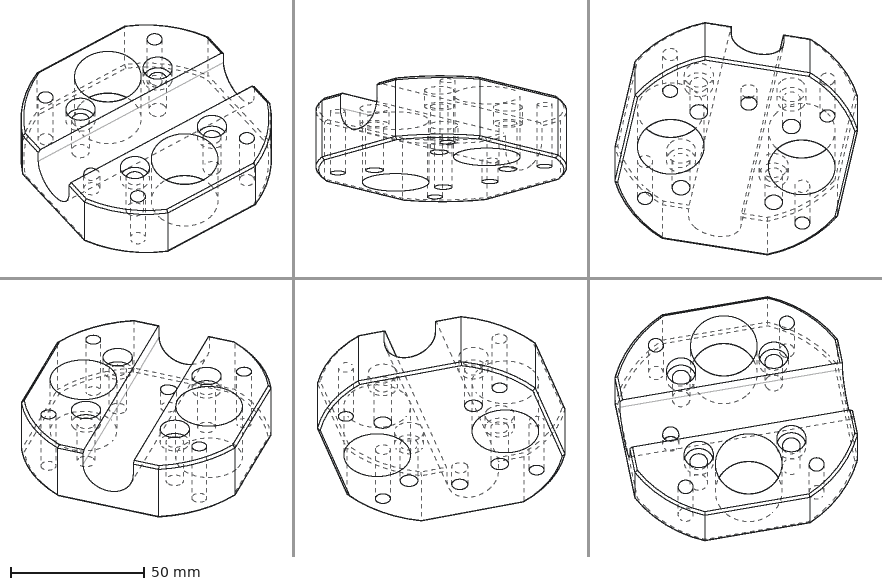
import cadquery as cq

side = 85.0
height = 24.0
disc_diameter = 94.0
edge_chamfer = 1.0

channel_width = 20.0
channel_depth = 16.0

bore_diameter = 25.0
bore_offset = 25.0
corner_hole_diameter = 5.6
corner_hole_x = 30.0
corner_hole_y = 25.0
screw_offset = 17.7
screw_diameter = 6.6
counterbore_diameter = 11.0
counterbore_depth = 6.2
channel_hole_diameter = 6.0
channel_hole_y = -25.0


def four_points(x, y):
    """Points mirrored about both the X and Y axes."""
    return [(sx * x, sy * y) for sx in (-1, 1) for sy in (-1, 1)]


def make_block():
    disc = cq.Workplane("XY").circle(disc_diameter / 2).extrude(height)
    square = cq.Workplane("XY").rect(side, side).extrude(height)
    block = disc.intersect(square)
    return block.faces("<Z or >Z").edges().chamfer(edge_chamfer)


def make_channel():
    radius = channel_width / 2
    axis_z = height - channel_depth + radius
    round_bottom = (
        cq.Workplane("XZ", origin=(0, side / 2, axis_z))
        .circle(radius)
        .extrude(side)
    )
    straight_walls = (
        cq.Workplane("XY")
        .workplane(offset=axis_z)
        .rect(channel_width, side)
        .extrude(height - axis_z)
    )
    return round_bottom.union(straight_walls)


def make_holes(points, diameter):
    return cq.Workplane("XY").pushPoints(points).circle(diameter / 2).extrude(height)


screw_points = four_points(screw_offset, screw_offset)
counterbores = (
    cq.Workplane("XY")
    .workplane(offset=height - counterbore_depth)
    .pushPoints(screw_points)
    .circle(counterbore_diameter / 2)
    .extrude(counterbore_depth)
)

result = (
    make_block()
    .cut(make_channel())
    .cut(make_holes([(-bore_offset, 0), (bore_offset, 0)], bore_diameter))
    .cut(make_holes(four_points(corner_hole_x, corner_hole_y), corner_hole_diameter))
    .cut(make_holes(screw_points, screw_diameter))
    .cut(counterbores)
    .cut(make_holes([(0, channel_hole_y)], channel_hole_diameter))
)